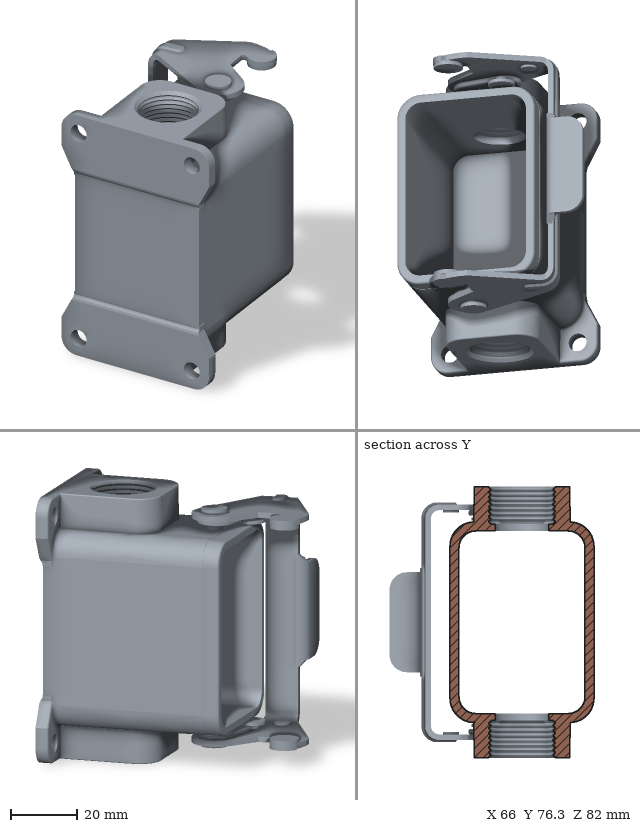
import cadquery as cq
import math

body_half_x = 21.9
body_half_z = 30.4
body_corner_radius = 7.55
body_draft = 0.3
rim_start = 51.5
body_length = 56.8
rim_step = 0.1
rim_edge_fillet = 0.65
wall = 2.6
floor_thickness = 4.0
underside_relief = 0.9

flange_half_x = 26.1
flange_half_z = 41.0
flange_thickness = 4.0
flange_corner_radius = 5.3
flange_shoulder_z = 29.3
flange_neck_half_x = 22.1
flange_neck_z = 21.65
flange_end_z = 19.9
flange_edge_fillet = 0.6
base_fillet = 0.65
flange_ramp_top_z = 22.4
flange_ramp_bottom_z = 20.75
hole_x = 20.0
hole_z = 35.0
hole_radius = 2.8

entry_half_x = 14.7
entry_top_y = 33.95
entry_corner_radius = 7.1
entry_edge_fillet = 0.4
entry_draft = 1.0
bore_y = 19.1
bore_radius = 7.95
thread_crest_radius = 9.3
thread_root_radius = 10.0
thread_mouth_radius = 10.25
thread_pitch = 1.5
thread_turns = 7

sheet = 1.7
lever_half_z = 35.5
lever_bend_radius = 4.1
lever_tilt = 4.5
strip_x = -29.5
strip_y = 60.35
eye_x, eye_y = 0.1, 48.8
eye_radius = 7.5
slot_end_y = 50.3
slot_radius = 2.55
knob_x, knob_y = 1.4, 70.9
knob_radius = 4.6
knob_pad_height = 1.2
knob_pad_radius = 4.4
stop_x, stop_y = -21.4, 62.4
stop_radius = 2.5
stop_height = 0.7

bead_half_width = 2.05
bead_height = 0.65
bead_end_x = -19.5
sliver = 0.01

tab_tip_x = -39.9
tab_half_z = 15.1
tab_top_y = 68.0
tab_corner_radius = 5.25
tab_bend_x = -30.75
tab_bend_radius = 2.9
tab_root_half_z = 17.6
tab_flare_top_y = 67.4
tab_root_overlap = 0.5

pin_y = 48.05
pin_radius = 2.55
pin_head_radius = 4.0
pin_head_top_z = 36.7
arm_thickness = 1.6
arm_eye_radius = 5.7
arm_end_x, arm_end_y = -11.15, 52.15
arm_end_radius = 4.9
arm_edge_fillet = 0.5
rivet_y = 56.25
rivet_shank_radius = 2.1
rivet_head_radius = 4.1
rivet_head_thickness = 1.0
rivet_tip_z = 30.7

lever_inner_z = lever_half_z - sheet
rim_inset = rim_start * math.tan(math.radians(body_draft)) + rim_step


def both_ends(shape):
    """Join a shape with its mirror image in the XY plane."""
    return shape.union(shape.mirror("XY"))


def rounded_block(half_x, half_z, radius, start_y, length, taper=0.0):
    """Block along +Y with a rounded rectangular section."""
    return (
        cq.Workplane("XZ", origin=(0, start_y, 0))
        .sketch()
        .rect(2 * half_x, 2 * half_z)
        .vertices()
        .fillet(radius)
        .finalize()
        .extrude(-length, taper=taper)
    )


def disc(x, y, radius, z_low, z_high):
    """Disc with its axis along Z."""
    return cq.Workplane("XY", origin=(x, y, z_low)).circle(radius).extrude(z_high - z_low)


def make_body():
    shell = rounded_block(
        body_half_x, body_half_z, body_corner_radius, underside_relief,
        rim_start - underside_relief, taper=body_draft,
    )
    rim = rounded_block(
        body_half_x - rim_inset, body_half_z - rim_inset, body_corner_radius - rim_inset,
        rim_start, body_length - rim_start,
    )
    return shell.union(rim.faces(">Y").edges().fillet(rim_edge_fillet))


def make_flange():
    """Flange at the +Z end, with a ramp up to the raised underside."""
    plate = (
        cq.Workplane("XZ")
        .moveTo(-flange_neck_half_x, flange_end_z)
        .lineTo(-flange_neck_half_x, flange_neck_z)
        .lineTo(-flange_half_x, flange_shoulder_z)
        .lineTo(-flange_half_x, flange_half_z)
        .lineTo(flange_half_x, flange_half_z)
        .lineTo(flange_half_x, flange_shoulder_z)
        .lineTo(flange_neck_half_x, flange_neck_z)
        .lineTo(flange_neck_half_x, flange_end_z)
        .close()
        .extrude(-flange_thickness)
    )
    plate = plate.edges("|Y and >Z").fillet(flange_corner_radius)
    plate = plate.faces(">Y").edges("not <Z").fillet(flange_edge_fillet)
    ramp = (
        cq.Workplane("YZ", origin=(-flange_half_x, 0, 0))
        .moveTo(0, flange_end_z)
        .lineTo(0, flange_ramp_top_z)
        .lineTo(underside_relief / 4, flange_neck_z)
        .lineTo(underside_relief, flange_ramp_bottom_z)
        .lineTo(underside_relief, flange_end_z)
        .close()
        .extrude(2 * flange_half_x)
    )
    return plate.cut(ramp)


def make_entry():
    """Cable entry block rising from inside the +Z wall to the flange edge."""
    root_z = body_half_z - wall
    block = (
        cq.Workplane("XY", origin=(0, 0, root_z))
        .moveTo(-entry_half_x, 0)
        .lineTo(-entry_half_x, entry_top_y - entry_corner_radius)
        .radiusArc((-entry_half_x + entry_corner_radius, entry_top_y), entry_corner_radius)
        .lineTo(entry_half_x - entry_corner_radius, entry_top_y)
        .radiusArc((entry_half_x, entry_top_y - entry_corner_radius), entry_corner_radius)
        .lineTo(entry_half_x, 0)
        .close()
        .extrude(flange_half_z - root_z, taper=entry_draft)
    )
    block = block.faces(">Z").edges("not <Y").fillet(entry_edge_fillet)
    lowest_y = cq.Workplane("XY").box(2 * flange_half_x, 2 * underside_relief, 2 * flange_half_z)
    return block.cut(lowest_y)


def make_thread_cutter():
    """Ringed bore cutter for the +Z entry: chamfered mouth, V grooves, smaller through bore."""
    mouth_depth = thread_mouth_radius - thread_crest_radius
    top_z = flange_half_z
    z = top_z - mouth_depth
    profile = (
        cq.Workplane("XZ", origin=(0, bore_y, 0))
        .moveTo(0, top_z)
        .lineTo(thread_mouth_radius, top_z)
        .lineTo(thread_crest_radius, z)
    )
    for _ in range(thread_turns):
        profile = profile.lineTo(thread_root_radius, z - thread_pitch / 2)
        z -= thread_pitch
        profile = profile.lineTo(thread_crest_radius, z)
    profile = profile.lineTo(bore_radius, z).lineTo(bore_radius, 0).lineTo(0, 0).close()
    return profile.revolve(360, (0, 0, 0), (0, 1, 0))


def make_housing():
    housing = make_body().union(both_ends(make_flange())).union(both_ends(make_entry()))
    inset = rim_inset + wall
    cavity = rounded_block(
        body_half_x - inset, body_half_z - inset, body_corner_radius - wall,
        floor_thickness, body_length - floor_thickness,
    )
    mounting_holes = (
        cq.Workplane("XZ")
        .rect(2 * hole_x, 2 * hole_z, forConstruction=True)
        .vertices()
        .circle(hole_radius)
        .extrude(-flange_thickness)
    )
    margin = 0.1
    base_fillet_zone = cq.selectors.BoxSelector(
        (-body_half_x, flange_thickness - margin, -body_half_z),
        (body_half_x, flange_thickness + margin, body_half_z),
    )
    housing = housing.edges(base_fillet_zone).edges("%CIRCLE").fillet(base_fillet)
    return housing.cut(cavity).cut(both_ends(make_thread_cutter())).cut(mounting_holes)


def lean(shape):
    """Tilt a lever piece about the Z axis through the middle of the cross strip."""
    return shape.rotate((strip_x, strip_y, 0), (strip_x, strip_y, 1), lever_tilt)


def bracket_band(offset, width, end_x):
    """Solid U outline, grown by an offset, spanning a width across the strip."""
    start_x = strip_x - offset
    half_z = lever_half_z + offset
    block = (
        cq.Workplane("XY")
        .box(end_x - start_x, width, 2 * half_z)
        .translate(((start_x + end_x) / 2, strip_y, 0))
    )
    return block.edges("|Y and <X").fillet(lever_bend_radius + offset)


def lever_outline():
    """Side outline of the lever, extruded over the full height."""
    return (
        cq.Workplane("XY", origin=(0, 0, -lever_half_z))
        .moveTo(-31.2, 65.1)
        .lineTo(-27.5, 65.2)
        .lineTo(-25.8, 66.0)
        .lineTo(-6.1, 76.3)
        .lineTo(-3.4, 76.3)
        .lineTo(0.65, 75.4)
        .lineTo(2.0, 74.8)
        .lineTo(2.7, 75.35)
        .threePointArc((knob_x + knob_radius, knob_y), (knob_x, knob_y - knob_radius))
        .lineTo(-0.8, 66.9)
        .lineTo(-2.4, 68.1)
        .threePointArc((-3.2, 68.2), (-3.7, 67.4))
        .lineTo(-3.5, 60.85)
        .lineTo(4.4, 54.85)
        .threePointArc((eye_x + eye_radius, eye_y), (eye_x, eye_y - eye_radius))
        .lineTo(-3.4, 42.2)
        .lineTo(-24.85, 54.3)
        .lineTo(-27.1, 55.1)
        .lineTo(-31.2, 55.3)
        .close()
        .extrude(2 * lever_half_z)
    )


def make_bead():
    """Rounded rib that wraps the strip and ends part-way along both side plates."""
    band = bracket_band(bead_height, 2 * bead_half_width, bead_end_x)
    band = band.edges("|Z and >X").fillet(bead_half_width - sliver)
    return band.faces("<X or <Z or >Z").edges().chamfer(bead_height - sliver)


def make_tab():
    """Finger tab, bent over from the +Y edge of the cross strip."""
    inner_radius = tab_bend_radius - sheet
    bend_y = tab_top_y - tab_bend_radius
    low_y = bend_y - tab_root_overlap
    outer_x = tab_bend_x + tab_bend_radius
    inner_x = tab_bend_x + inner_radius
    tab = (
        cq.Workplane("XY", origin=(0, 0, -tab_root_half_z))
        .moveTo(tab_tip_x, tab_top_y)
        .lineTo(tab_bend_x, tab_top_y)
        .radiusArc((outer_x, bend_y), tab_bend_radius)
        .lineTo(outer_x, low_y)
        .lineTo(inner_x, low_y)
        .lineTo(inner_x, bend_y)
        .radiusArc((tab_bend_x, tab_top_y - sheet), -inner_radius)
        .lineTo(tab_tip_x, tab_top_y - sheet)
        .close()
        .extrude(2 * tab_root_half_z)
    )
    blade = (
        cq.Workplane("XY")
        .box(tab_bend_x - tab_tip_x, 4 * sheet, 2 * tab_half_z)
        .edges("|Y and <X")
        .fillet(tab_corner_radius)
        .translate(((tab_bend_x + tab_tip_x) / 2, tab_top_y, 0))
    )
    root = (
        cq.Workplane("YZ", origin=(tab_bend_x, 0, 0))
        .polyline([
            (low_y, -tab_root_half_z),
            (bend_y, -tab_root_half_z),
            (tab_flare_top_y, -tab_half_z),
            (tab_top_y, -tab_half_z),
            (tab_top_y, tab_half_z),
            (tab_flare_top_y, tab_half_z),
            (bend_y, tab_root_half_z),
            (low_y, tab_root_half_z),
        ])
        .close()
        .extrude(tab_bend_radius)
    )
    return tab.intersect(blade.union(root))


def make_lever():
    reach_x = 16.4
    reach_y = 65.6
    skin = bracket_band(0, reach_y, reach_x)
    inside = bracket_band(-sheet, reach_y, reach_x)
    beaded = lean(skin).intersect(lever_outline()).union(lean(make_bead()))
    slot_end = disc(0, slot_end_y, slot_radius, -lever_half_z, lever_half_z)
    pad = disc(knob_x, knob_y, knob_pad_radius, lever_inner_z - knob_pad_height, lever_inner_z)
    stop = disc(stop_x, stop_y, stop_radius, lever_inner_z - stop_height, lever_inner_z)
    lever = beaded.cut(lean(inside)).cut(slot_end)
    return lever.union(make_tab()).union(both_ends(pad)).union(both_ends(stop))


def make_pivot():
    """Pivot pin, spring arm and arm rivet at the +Z side."""
    arm_low_z = lever_inner_z - arm_thickness
    run_x = arm_end_x - eye_x
    run_y = arm_end_y - eye_y
    run = math.hypot(run_x, run_y)
    spread = math.acos((arm_eye_radius - arm_end_radius) / run)
    heading = math.atan2(run_y, run_x)

    def touch(x, y, radius, angle):
        return (x + radius * math.cos(angle), y + radius * math.sin(angle))

    arm = (
        cq.Workplane("XY", origin=(0, 0, arm_low_z))
        .moveTo(*touch(eye_x, eye_y, arm_eye_radius, heading - spread))
        .lineTo(*touch(arm_end_x, arm_end_y, arm_end_radius, heading - spread))
        .threePointArc(
            touch(arm_end_x, arm_end_y, arm_end_radius, heading),
            touch(arm_end_x, arm_end_y, arm_end_radius, heading + spread),
        )
        .lineTo(*touch(eye_x, eye_y, arm_eye_radius, heading + spread))
        .threePointArc(
            touch(eye_x, eye_y, arm_eye_radius, heading + math.pi),
            touch(eye_x, eye_y, arm_eye_radius, heading - spread),
        )
        .close()
        .extrude(arm_thickness)
        .edges("<Z or >Z")
        .fillet(arm_edge_fillet)
    )
    pin = disc(0, pin_y, pin_radius, body_half_z - wall / 2, pin_head_top_z)
    head = disc(0, pin_y, pin_head_radius, lever_half_z, pin_head_top_z)
    shank = disc(arm_end_x, rivet_y, rivet_shank_radius, rivet_tip_z, arm_low_z + arm_thickness / 2)
    rivet_head = disc(
        arm_end_x, rivet_y, rivet_head_radius, rivet_tip_z, rivet_tip_z + rivet_head_thickness
    )
    return arm.union(pin).union(head).union(shank).union(rivet_head)


result = make_housing().union(make_lever()).union(both_ends(make_pivot()))